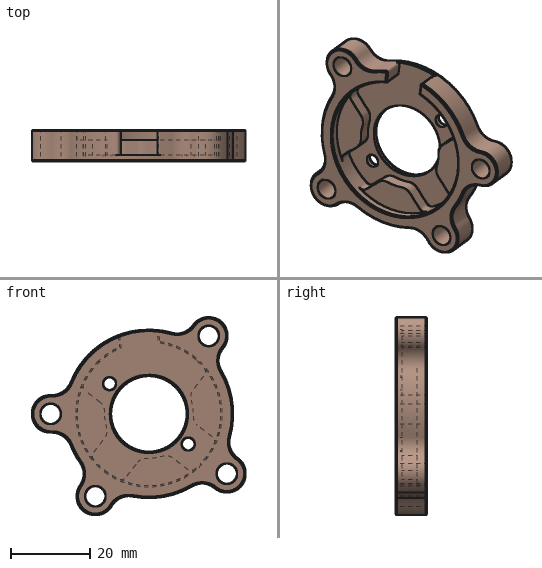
import cadquery as cq
import math

thickness = 7.95
floor_thickness = 1.65
edge_chamfer = 0.35
disc_radius = 21.25

tilt = 7.5

lug_circle_radius = 24.77
lug_radius = 4.75
lug_hole_diameter = 5.1
lug_angles = (tilt + 45.0, 180.0, 237.0, tilt + 315.0)
lug_blend_radius = 5.0

bore_diameter = 19.05
screw_hole_diameter = 3.2
screw_circle_radius = 12.5
screw_angles = (tilt + 135.0, tilt + 315.0)

cavity_radius = 18.1
pad_height = 3.75
pad_inner_radius = 11.2
channel_width = 10.3
pad_nose_radius = 3.0
pad_root_radius = 1.5
pad_angles = (tilt, tilt + 180.0, tilt + 270.0)

notch_angle = tilt + 90.0
notch_width = 9.5
notch_corner_radius = 0.65


def plane_at(y):
    """XZ plane at depth y whose extrusions run toward +Y (local x = -X, local y = Z)."""
    return cq.Workplane(cq.Plane(origin=(0, y, 0), xDir=(-1, 0, 0), normal=(0, 1, 0)))


def cylinder(radius, y_start, height, x=0.0, z=0.0):
    """Cylinder along Y, centred at (x, z) and running from y_start toward +Y."""
    return plane_at(y_start).center(-x, z).circle(radius).extrude(height)


def turn(shape, angle):
    """Rotate a shape from the +X direction toward +Z about the plate axis."""
    return shape.rotate((0, 0, 0), (0, 1, 0), -angle)


def polar(radius, angle):
    """Point (x, z) at a radius from the plate axis and an angle in degrees from +X toward +Z."""
    return radius * math.cos(math.radians(angle)), radius * math.sin(math.radians(angle))


def make_outline():
    """Disc with round lugs, blended into each other."""
    body = cylinder(disc_radius, 0, thickness)
    for angle in lug_angles:
        body = body.union(cylinder(lug_radius, 0, thickness, *polar(lug_circle_radius, angle)))
    return body.edges("|Y").fillet(lug_blend_radius)


def cut_notch(body):
    """Open the rim down to the floor and round the notch's outer corners."""
    depth = thickness - floor_thickness
    notch = (
        cq.Workplane("XY")
        .box(lug_circle_radius, depth, notch_width, centered=(False, False, True))
        .translate((0, floor_thickness, 0))
    )
    body = body.cut(turn(notch, notch_angle))
    corner_spread = math.degrees(math.asin(notch_width / 2 / disc_radius))
    for corner_angle in (notch_angle - corner_spread, notch_angle + corner_spread):
        x, z = polar(disc_radius, corner_angle)
        corner = cq.selectors.NearestToPointSelector((x, floor_thickness + depth / 2, z))
        body = body.edges("|Y").edges(corner).fillet(notch_corner_radius)
    return body


def along_channel(distance, offset):
    """Point at a distance along the 45 degree channel centre line and an offset toward the pad."""
    return (distance + offset) / math.sqrt(2), (distance - offset) / math.sqrt(2)


def round_tangent_to_flank(center_distance, center_offset):
    """Centre of a round on the pad flank, the centre's angle from the pad axis and the flank tangent point.

    The centre is set by its distance from the plate axis and its offset from the channel centre line.
    """
    distance = math.sqrt(center_distance**2 - center_offset**2)
    x, z = along_channel(distance, center_offset)
    tangent_point = along_channel(distance, channel_width / 2)
    return (x, z), math.degrees(math.atan2(z, x)), tangent_point


def arc_middle(center, radius, start_angle, end_angle):
    x, z = polar(radius, (start_angle + end_angle) / 2)
    return center[0] + x, center[1] + z


def mirrored(point):
    return point[0], -point[1]


def make_pad():
    """Support pad on the +X side: arc face, rounded noses, 45 degree flanks, filleted into the wall."""
    flank_outward = 135.0
    flank_inward = flank_outward - 180.0

    nose_center, nose_angle, nose_end = round_tangent_to_flank(
        pad_inner_radius + pad_nose_radius, channel_width / 2 + pad_nose_radius
    )
    nose_start = polar(pad_inner_radius, nose_angle)
    nose_middle = arc_middle(nose_center, pad_nose_radius, nose_angle + 180.0, flank_outward)

    root_center, root_angle, root_start = round_tangent_to_flank(
        cavity_radius - pad_root_radius, channel_width / 2 - pad_root_radius
    )
    root_end = polar(cavity_radius, root_angle)
    root_middle = arc_middle(root_center, pad_root_radius, root_angle, flank_inward)

    buried_radius = (cavity_radius + disc_radius) / 2
    buried_end = polar(buried_radius, root_angle)

    profile = (
        cq.Workplane(cq.Plane(origin=(0, floor_thickness, 0), xDir=(1, 0, 0), normal=(0, -1, 0)))
        .moveTo(*mirrored(nose_start))
        .threePointArc((pad_inner_radius, 0), nose_start)
        .threePointArc(nose_middle, nose_end)
        .lineTo(*root_start)
        .threePointArc(root_middle, root_end)
        .lineTo(*buried_end)
        .threePointArc((buried_radius, 0), mirrored(buried_end))
        .lineTo(*mirrored(root_end))
        .threePointArc(mirrored(root_middle), mirrored(root_start))
        .lineTo(*mirrored(nose_end))
        .threePointArc(mirrored(nose_middle), mirrored(nose_start))
        .close()
    )
    return profile.extrude(-pad_height)


def add_pads(body):
    pad = make_pad()
    for angle in pad_angles:
        body = body.union(turn(pad, angle))
    return body


def drill_holes(body):
    for angle in lug_angles:
        body = body.cut(cylinder(lug_hole_diameter / 2, 0, thickness, *polar(lug_circle_radius, angle)))
    for angle in screw_angles:
        body = body.cut(cylinder(screw_hole_diameter / 2, 0, thickness, *polar(screw_circle_radius, angle)))
    return body


body = make_outline()
body = body.cut(cylinder(cavity_radius, floor_thickness, thickness - floor_thickness))
body = cut_notch(body)
body = body.cut(cylinder(bore_diameter / 2, 0, floor_thickness))
body = body.faces("<Y or >Y").edges().chamfer(edge_chamfer)
body = add_pads(body)
result = drill_holes(body)